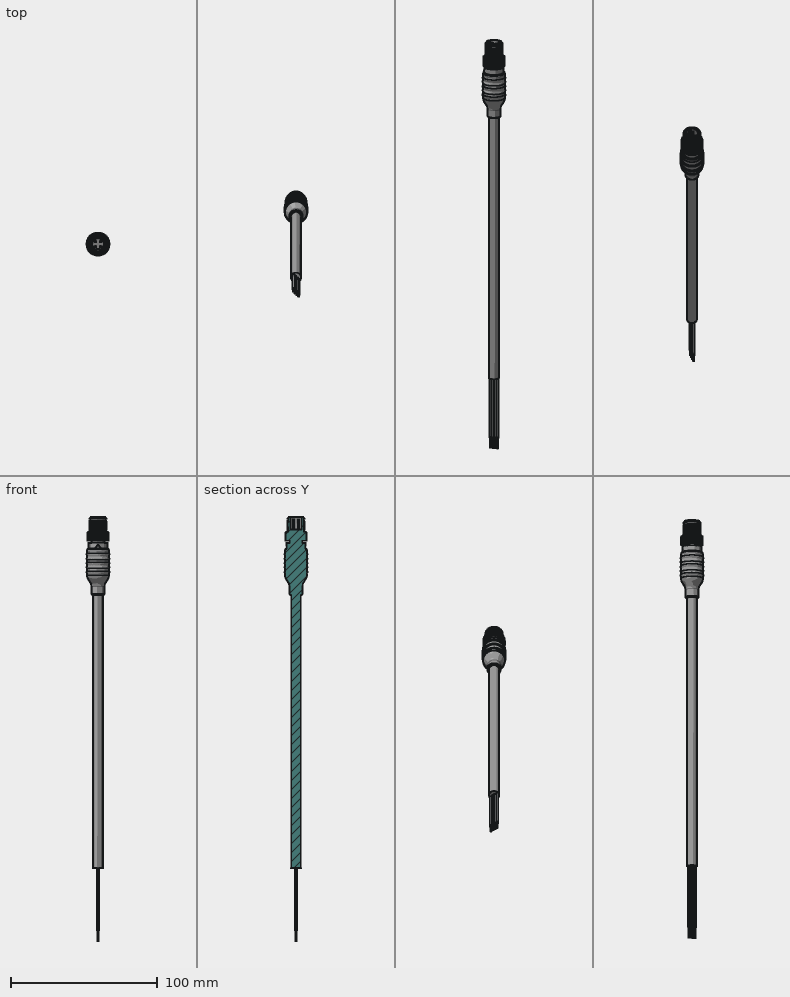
import cadquery as cq
import math

total_length = 289.55

cut_overshoot = 0.15

sleeve_radius = 6.0
rim_radius = 5.1
rim_land_height = 0.35
rim_bottom = -1.3
undercut_radius = 5.3
thread_start = -2.8
thread_pitch = 1.0
thread_depth = 0.55
thread_crest_width = 0.16
groove_runout_top = 0.3
groove_runout_bottom = 0.4
thread_phase = 180

socket_radius = 3.9
socket_depth = 8.5
pin_radius = 0.5
pin_circle_radius = 2.45
pin_count = 4
pin_tip_depth = 1.5
key_width = 1.5
key_height = 0.9
key_root = 0.4
key_top_depth = 0.5

nut_radius = 7.5
nut_top = -10.0
nut_bottom = -16.3
nut_chamfer = 1.0
knurl_count = 36
knurl_depth = 0.45
knurl_mouth_share = 0.9
neck_radius = 4.6
thread_relief = 0.9
thread_end = nut_top + thread_relief

collar_top = -17.8
collar_radius = 6.6
shoulder_top = -21.5
shoulder_step_depth = 0.7
shoulder_step_radius = 7.4
shoulder_bottom = -23.1
shoulder_radius = 7.6
rim_bead_radius = 7.878
band_length = 4.2
band_pitch = 6.1
band_count = 3
first_band_top = -24.9
bead_offset = 0.7
band_valley_radius = 7.45
tail_radius = 4.6
last_band_end = -39.7
tail_top = -47.4
tail_bottom = -53.4
tail_chamfer = 0.8

arrow_tip = -18.9
arrow_base = -21.5
arrow_width = 4.2
arrow_height = 0.3

wire_length = 50.0
bare_length = 7.6
cable_radius = 3.45
wire_radius = 0.8
wire_pitch = 1.7
conductor_radius = 0.48
wire_count = 4


def cylinder(radius, top, bottom):
    return cq.Workplane("XY").workplane(offset=bottom).circle(radius).extrude(top - bottom)


def make_sleeve():
    """Rim, the undercut core inside the thread, and the neck inside the nut."""
    profile = [
        (0, 0),
        (rim_radius, 0),
        (rim_radius, -rim_land_height),
        (sleeve_radius, rim_bottom),
        (undercut_radius, rim_bottom),
        (undercut_radius, nut_top),
        (neck_radius, nut_top),
        (neck_radius, collar_top),
        (0, collar_top),
    ]
    core = cq.Workplane("XZ").polyline(profile).close().revolve()
    return core.cut(cylinder(socket_radius, 0, -socket_depth))


def make_thread():
    """Threaded ring around the undercut core, ending above the nut."""
    blank = cylinder(sleeve_radius, thread_start, thread_end)
    return blank.cut(make_thread_groove()).cut(cylinder(undercut_radius, thread_start, thread_end))


def make_thread_groove():
    """V groove along a helix that runs out past both ends of the thread."""
    top = thread_start + groove_runout_top
    bottom = thread_end - groove_runout_bottom
    mouth_radius = sleeve_radius + cut_overshoot
    half_mouth = (thread_pitch - thread_crest_width) / 2
    helix = cq.Wire.makeHelix(thread_pitch, top - bottom, sleeve_radius)
    path = cq.Workplane(helix.translate(cq.Vector(0, 0, bottom)))
    groove = [
        (sleeve_radius - thread_depth, bottom),
        (mouth_radius, bottom + half_mouth),
        (mouth_radius, bottom - half_mouth),
    ]
    swept = cq.Workplane("XZ").polyline(groove).close().sweep(path, isFrenet=True)
    return swept.rotate((0, 0, 0), (0, 0, 1), thread_phase)


def make_pins():
    return (
        cq.Workplane("XY")
        .workplane(offset=-socket_depth)
        .polarArray(pin_circle_radius, 180 / pin_count, 360, pin_count)
        .circle(pin_radius)
        .extrude(socket_depth - pin_tip_depth)
    )


def make_key():
    outer = socket_radius + key_root
    inner = socket_radius - key_height
    return (
        cq.Workplane("XY")
        .workplane(offset=-socket_depth)
        .center(0, -(outer + inner) / 2)
        .rect(key_width, outer - inner)
        .extrude(socket_depth - key_top_depth)
    )


def make_nut():
    """Ring with V grooves along its rim."""
    nut = cylinder(nut_radius, nut_top, nut_bottom).faces(">Z").edges().chamfer(nut_chamfer)
    half_angle = math.pi / knurl_count
    mouth_radius = nut_radius / math.cos(half_angle) + cut_overshoot
    mouth_x = mouth_radius * math.cos(half_angle)
    mouth_y = mouth_radius * math.sin(half_angle) * knurl_mouth_share
    groove = (
        cq.Workplane("XY")
        .workplane(offset=nut_bottom)
        .polyline([(nut_radius - knurl_depth, 0), (mouth_x, mouth_y), (mouth_x, -mouth_y)])
        .close()
        .extrude(nut_top - nut_bottom)
    )
    turns = [i * 360 / knurl_count for i in range(knurl_count)]
    grooves = [groove.rotate((0, 0, 0), (0, 0, 1), turn).val() for turn in turns]
    nut = nut.cut(cq.Workplane(cq.Compound.makeCompound(grooves)))
    return nut.cut(cylinder(neck_radius, nut_top, nut_bottom))


def make_grip():
    """Collar, shoulder, grip bands with raised rims around a hollow, and a tail around the cable."""
    profile = (
        cq.Workplane("YZ")
        .moveTo(0, collar_top)
        .lineTo(-collar_radius, collar_top)
        .lineTo(-collar_radius, shoulder_top)
        .lineTo(-shoulder_step_radius, shoulder_top - shoulder_step_depth)
        .lineTo(-shoulder_radius, shoulder_bottom)
    )
    for i in range(band_count):
        top = first_band_top - i * band_pitch
        is_last = i == band_count - 1
        bottom = last_band_end if is_last else top - band_length
        points = [
            (-rim_bead_radius, top - bead_offset),
            (-band_valley_radius, top - band_length / 2),
        ]
        if not is_last:
            points.append((-rim_bead_radius, bottom + bead_offset))
        points.append((-shoulder_radius, bottom))
        profile = profile.lineTo(-shoulder_radius, top).spline(points, includeCurrent=True)
    profile = (
        profile.spline(
            [(-tail_radius, tail_top)], tangents=[(0, -1), (0, -1)], includeCurrent=True
        )
        .lineTo(-tail_radius, tail_bottom + tail_chamfer)
        .lineTo(-tail_radius + tail_chamfer, tail_bottom)
        .lineTo(0, tail_bottom)
        .close()
    )
    return profile.revolve(360, (0, 0), (0, 1))


def make_arrow():
    """Triangle pointing at the plug, raised from the collar."""
    outline = [(0, arrow_tip), (arrow_width / 2, arrow_base), (-arrow_width / 2, arrow_base)]
    prism = cq.Workplane("XZ").polyline(outline).close().extrude(2 * collar_radius)
    return prism.intersect(cylinder(collar_radius + arrow_height, arrow_tip, arrow_base))


def make_cable():
    cable_end = -total_length + wire_length
    insulation_end = -total_length + bare_length
    cable = cylinder(cable_radius, tail_bottom, cable_end)
    for i in range(wire_count):
        y = (i - (wire_count - 1) / 2) * wire_pitch
        insulation = cylinder(wire_radius, cable_end, insulation_end)
        conductor = cylinder(conductor_radius, insulation_end, -total_length)
        cable = cable.union(insulation.union(conductor).translate((0, y, 0)))
    return cable


result = (
    make_sleeve()
    .union(make_pins())
    .union(make_key())
    .union(make_nut())
    .union(make_grip())
    .union(make_arrow())
    .union(make_cable())
    .union(make_thread())
)